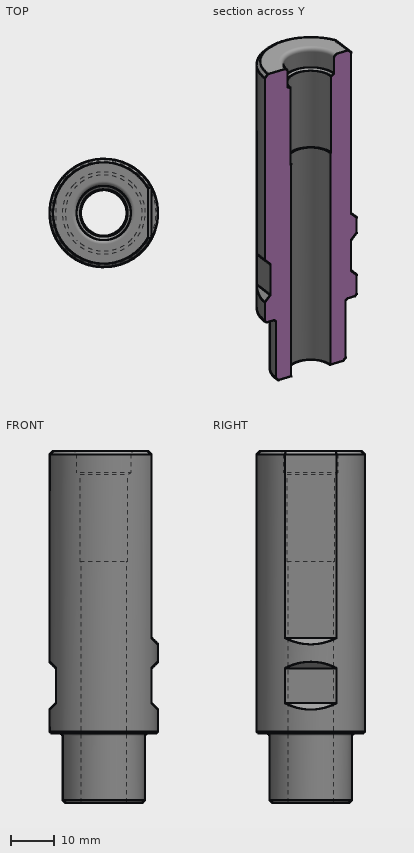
import cadquery as cq
import math

TOTAL_HEIGHT = 81.0
BODY_RADIUS = 25.0 / 2
SPIGOT_RADIUS = 19.0 / 2
SPIGOT_LENGTH = 16.0
SPIGOT_CHAMFER = 0.7
SHOULDER_CHAMFER = 0.5
SHOULDER_FILLET = 0.6
TOP_CHAMFER = 0.85

FLAT_DISTANCE = 11.0
FLAT_DEPTH = BODY_RADIUS - FLAT_DISTANCE
WRENCH_FLAT_BOTTOM = 23.0
WRENCH_FLAT_TOP = 31.0
LONG_FLAT_BOTTOM = 38.0

BORE_RADIUS = 10.5 / 2
THREAD_CORE_RADIUS = 10.92 / 2
THREAD_LENGTH = 20.0
COUNTERBORE_RADIUS = 12.5 / 2
COUNTERBORE_DEPTH = 5.0
COUNTERBORE_FILLET = 1.0
CONE_SLOPE = math.radians(30)


def make_body():
    """Body and spigot, up to the sharp top edge."""
    profile = (
        cq.Workplane("XZ")
        .lineTo(SPIGOT_RADIUS - SPIGOT_CHAMFER, 0)
        .lineTo(SPIGOT_RADIUS, SPIGOT_CHAMFER)
        .lineTo(SPIGOT_RADIUS, SPIGOT_LENGTH - SHOULDER_FILLET)
        .radiusArc((SPIGOT_RADIUS + SHOULDER_FILLET, SPIGOT_LENGTH), SHOULDER_FILLET)
        .lineTo(BODY_RADIUS - SHOULDER_CHAMFER, SPIGOT_LENGTH)
        .lineTo(BODY_RADIUS, SPIGOT_LENGTH + SHOULDER_CHAMFER)
        .lineTo(BODY_RADIUS, TOTAL_HEIGHT)
        .lineTo(0, TOTAL_HEIGHT)
        .close()
    )
    return profile.revolve(360, (0, 0, 0), (0, 1, 0))


def wrench_flat_cutter(side):
    """Notch whose ends slope outward at 45 degrees; side is +1 for +X, -1 for -X."""
    return (
        cq.Workplane("XZ")
        .moveTo(side * FLAT_DISTANCE, WRENCH_FLAT_BOTTOM)
        .lineTo(side * BODY_RADIUS, WRENCH_FLAT_BOTTOM - FLAT_DEPTH)
        .lineTo(side * BODY_RADIUS, WRENCH_FLAT_TOP + FLAT_DEPTH)
        .lineTo(side * FLAT_DISTANCE, WRENCH_FLAT_TOP)
        .close()
        .extrude(BODY_RADIUS, both=True)
    )


def long_flat_cutter():
    """Flat on the +X side that runs out through the top of the body."""
    return (
        cq.Workplane("XZ")
        .moveTo(FLAT_DISTANCE, LONG_FLAT_BOTTOM)
        .lineTo(BODY_RADIUS, LONG_FLAT_BOTTOM - FLAT_DEPTH)
        .lineTo(BODY_RADIUS, TOTAL_HEIGHT)
        .lineTo(FLAT_DISTANCE, TOTAL_HEIGHT)
        .close()
        .extrude(BODY_RADIUS, both=True)
    )


def bore_cutter():
    """Through bore, wider thread core hole and a counterbore with a rounded rim and conical floor."""
    cone_top = TOTAL_HEIGHT - COUNTERBORE_DEPTH
    cone_bottom = cone_top - (COUNTERBORE_RADIUS - THREAD_CORE_RADIUS) * math.tan(CONE_SLOPE)
    thread_bottom = cone_bottom - THREAD_LENGTH
    profile = (
        cq.Workplane("XZ")
        .lineTo(BORE_RADIUS, 0)
        .lineTo(BORE_RADIUS, thread_bottom)
        .lineTo(THREAD_CORE_RADIUS, thread_bottom)
        .lineTo(THREAD_CORE_RADIUS, cone_bottom)
        .lineTo(COUNTERBORE_RADIUS, cone_top)
        .lineTo(COUNTERBORE_RADIUS, TOTAL_HEIGHT - COUNTERBORE_FILLET)
        .radiusArc((COUNTERBORE_RADIUS + COUNTERBORE_FILLET, TOTAL_HEIGHT), COUNTERBORE_FILLET)
        .lineTo(0, TOTAL_HEIGHT)
        .close()
    )
    return profile.revolve(360, (0, 0, 0), (0, 1, 0))


body = make_body()
for side in (-1, 1):
    body = body.cut(wrench_flat_cutter(side))
body = body.cut(long_flat_cutter())

body = body.faces(">Z").chamfer(TOP_CHAMFER)

result = body.cut(bore_cutter())